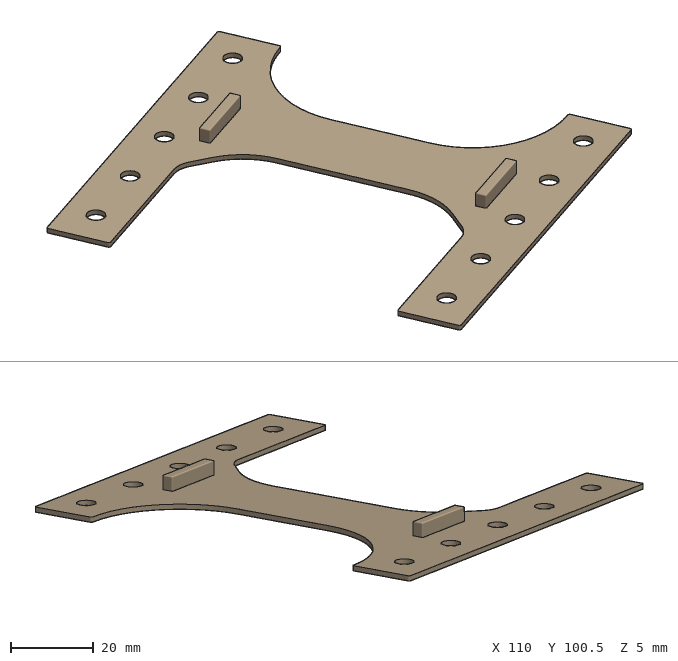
import cadquery as cq

plate_width = 110.0
plate_depth = 100.5
plate_thickness = 1.3
overall_height = 5.0
leg_width = 16.8
corner_radius = 0.5

web_back_y = 24.1
web_front_y = 2.2
back_notch_radius = 25.0
front_notch_chamfer = 12.2
front_notch_web_radius = 20.0
front_notch_leg_radius = 6.6

hole_diameter = 4.7
hole_count = 5
hole_pitch = 20.0
hole_row_center_y = 0.2

rib_width = 3.0
rib_length = 18.0
rib_center_y = 11.0
rib_edge_radius = 0.3

notch_half_width = plate_width / 2 - leg_width
half_depth = plate_depth / 2
hole_x = (plate_width - leg_width) / 2
rib_x = notch_half_width - rib_width / 2


def make_plate():
    return (
        cq.Workplane("XY")
        .rect(plate_width, plate_depth)
        .extrude(plate_thickness)
    )


def back_notch():
    """Open notch with two large rounded inner corners."""
    depth = half_depth - web_back_y
    return (
        cq.Workplane("XY")
        .center(0, web_back_y + depth / 2)
        .rect(2 * notch_half_width, depth)
        .extrude(plate_thickness)
        .edges("|Z and <Y")
        .fillet(back_notch_radius)
    )


def front_notch():
    """Open notch with chamfered inner corners, blended into the web and the legs."""
    chamfer_y = web_front_y - front_notch_chamfer
    chamfer_x = notch_half_width - front_notch_chamfer
    outline = [
        (-notch_half_width, -half_depth),
        (-notch_half_width, chamfer_y),
        (-chamfer_x, web_front_y),
        (chamfer_x, web_front_y),
        (notch_half_width, chamfer_y),
        (notch_half_width, -half_depth),
    ]
    notch = cq.Workplane("XY").polyline(outline).close().extrude(plate_thickness)
    notch = notch.edges("|Z and >Y").fillet(front_notch_web_radius)
    leg_corners = [(side * notch_half_width, chamfer_y, plate_thickness / 2) for side in (-1, 1)]
    for corner in leg_corners:
        notch = notch.edges(cq.selectors.NearestToPointSelector(corner)).fillet(front_notch_leg_radius)
    return notch


def leg_holes():
    row_half_length = hole_pitch * (hole_count - 1) / 2
    centers = [
        (side * hole_x, hole_row_center_y - row_half_length + index * hole_pitch)
        for side in (-1, 1)
        for index in range(hole_count)
    ]
    return (
        cq.Workplane("XY")
        .pushPoints(centers)
        .circle(hole_diameter / 2)
        .extrude(plate_thickness)
    )


def ribs():
    return (
        cq.Workplane("XY")
        .pushPoints([(-rib_x, rib_center_y), (rib_x, rib_center_y)])
        .rect(rib_width, rib_length)
        .extrude(overall_height)
        .edges("|Z or >Z")
        .fillet(rib_edge_radius)
    )


plate = make_plate().cut(back_notch()).cut(front_notch())
plate = plate.faces("<Y or >Y").edges("|Z").fillet(corner_radius)
result = plate.cut(leg_holes()).union(ribs())